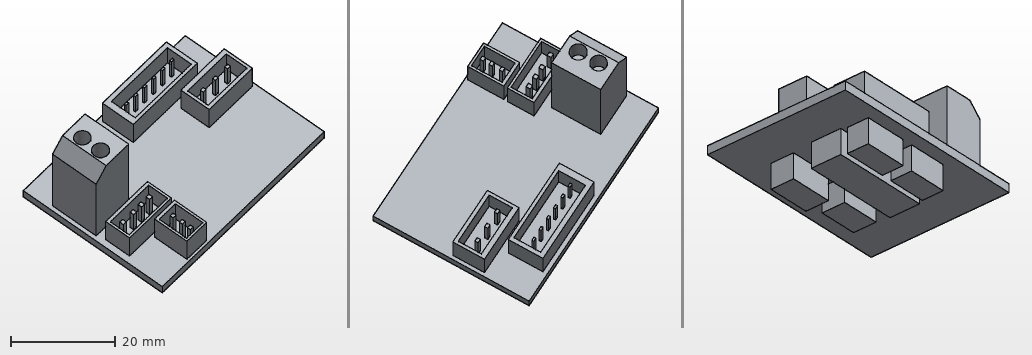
import cadquery as cq

BOARD_WIDTH = 35.0
BOARD_LENGTH = 48
BOARD_THICKNESS = 2.05

HOUSING_HEIGHT = 5.95
SOCKET_DEPTH = 5.0
SOCKET_FLOOR = HOUSING_HEIGHT - SOCKET_DEPTH

TERMINAL_X = 6.6
TERMINAL_Y = 0.9
TERMINAL_WIDTH = 11.0
TERMINAL_LENGTH = 9.65
TERMINAL_HEIGHT = 19.95
TERMINAL_CHAMFER = 3.0
SCREW_HOLE_DEPTH = SOCKET_DEPTH
SCREW_HOLE_Y = 5.95
SCREW_HOLES = [(9.85, 3.35), (14.4, 3.45)]


def box_between(x_range, y_range, bottom, height):
    """Upright block filling an X range and a Y range."""
    x_start, x_end = x_range
    y_start, y_end = y_range
    return cq.Workplane("XY").box(
        x_end - x_start, y_end - y_start, height, centered=False
    ).translate((x_start, y_start, bottom))


def pin_header(housing, socket, pin_size, pin_centres):
    """Open-topped housing whose pins rise from the socket floor to the rim.

    The housing and the socket are each given as (X range, Y range).
    """
    shell = box_between(*housing, 0, HOUSING_HEIGHT)
    shell = shell.cut(box_between(*socket, SOCKET_FLOOR, SOCKET_DEPTH))
    pins = (
        cq.Workplane("XY")
        .pushPoints(pin_centres)
        .rect(*pin_size)
        .extrude(HOUSING_HEIGHT)
    )
    return shell.union(pins)


def six_pin_header():
    pin_x = 4.55
    first_pin_y = 25.25
    pin_pitch = 2.7
    pin_count = 6
    return pin_header(
        housing=((0.95, 8.75), (22.3, 41.3)),
        socket=((2.0, 8.0), (23.75, 40.35)),
        pin_size=(0.5, 0.75),
        pin_centres=[(pin_x, first_pin_y + i * pin_pitch) for i in range(pin_count)],
    )


def rear_three_pin_header():
    pin_x = 13.7
    first_pin_y = 37.25
    pin_pitch = 3.6
    pin_count = 3
    return pin_header(
        housing=((10.45, 17.55), (34.4, 47.25)),
        socket=((11.55, 16.75), (35.1, 46.55)),
        pin_size=(0.7, 0.85),
        pin_centres=[(pin_x, first_pin_y + i * pin_pitch) for i in range(pin_count)],
    )


def four_pin_header():
    pin_x = 22.15
    pin_ys = [3.5, 6.6, 8.95, 11.3]
    return pin_header(
        housing=((19.55, 25.55), (1.45, 13.8)),
        socket=((20.25, 25.0), (1.95, 13.3)),
        pin_size=(0.9, 0.85),
        pin_centres=[(pin_x, y) for y in pin_ys],
    )


def front_three_pin_header():
    pin_y = 10.9
    pin_xs = [28.45, 30.75, 32.8]
    return pin_header(
        housing=((26.3, 34.4), (7.95, 13.8)),
        socket=((27.0, 33.9), (8.5, 13.3)),
        pin_size=(0.75, 0.85),
        pin_centres=[(x, pin_y) for x in pin_xs],
    )


def terminal_block():
    block = (
        cq.Workplane("XY")
        .box(TERMINAL_WIDTH, TERMINAL_LENGTH, TERMINAL_HEIGHT, centered=False)
        .edges(">Z and <Y")
        .chamfer(TERMINAL_CHAMFER)
        .translate((TERMINAL_X, TERMINAL_Y, 0))
    )
    for hole_x, diameter in SCREW_HOLES:
        hole = (
            cq.Workplane("XY", origin=(hole_x, SCREW_HOLE_Y, TERMINAL_HEIGHT))
            .circle(diameter / 2)
            .extrude(-SCREW_HOLE_DEPTH)
        )
        block = block.cut(hole)
    return block


def underside_housings():
    """Plain blocks below the board: a long one between two pairs."""
    front_y = (15.8, 25.0)
    rear_y = (27.5, 37.75)
    left_x = (3.05, 8.35)
    footprints = [
        (left_x, front_y),
        (left_x, rear_y),
        ((9.55, 17.05), (15.2, 38.3)),
        ((20.05, 25.8), front_y),
        ((22.05, 27.75), rear_y),
    ]
    bottom = -BOARD_THICKNESS - HOUSING_HEIGHT
    return [box_between(*footprint, bottom, HOUSING_HEIGHT) for footprint in footprints]


board = box_between((0, BOARD_WIDTH), (0, BOARD_LENGTH), -BOARD_THICKNESS, BOARD_THICKNESS)
components = [
    six_pin_header(),
    rear_three_pin_header(),
    four_pin_header(),
    front_three_pin_header(),
    terminal_block(),
    *underside_housings(),
]

result = board
for component in components:
    result = result.union(component)